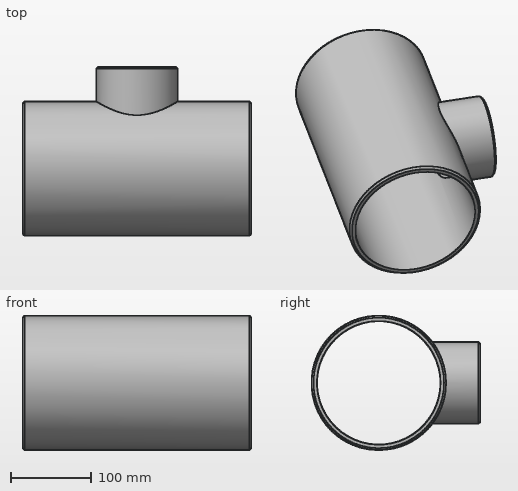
import cadquery as cq

run_length = 285.5
run_diameter = 168.2
branch_diameter = 102.2
branch_reach = 127.0
wall = 7.0

bevel = 2.5

run_radius = run_diameter / 2
branch_radius = branch_diameter / 2


def run_body():
    """Solid run cylinder, bevelled at both ends."""
    half_length = run_length / 2
    end_radius = run_radius - bevel
    profile = [
        (-half_length, 0),
        (-half_length, end_radius),
        (-half_length + bevel, run_radius),
        (half_length - bevel, run_radius),
        (half_length, end_radius),
        (half_length, 0),
    ]
    return cq.Workplane("XY").polyline(profile).close().revolve(360, (0, 0, 0), (1, 0, 0))


def branch_body():
    """Solid branch cylinder from the run axis, bevelled at its free end."""
    profile = [
        (0, 0),
        (branch_radius, 0),
        (branch_radius, branch_reach - bevel),
        (branch_radius - bevel, branch_reach),
        (0, branch_reach),
    ]
    return cq.Workplane("XY").polyline(profile).close().revolve(360, (0, 0, 0), (0, 1, 0))


run_bore = cq.Workplane("YZ").circle(run_radius - wall).extrude(run_length / 2, both=True)
branch_bore = cq.Workplane("XZ").circle(branch_radius - wall).extrude(-branch_reach)

result = run_body().union(branch_body()).cut(run_bore).cut(branch_bore)